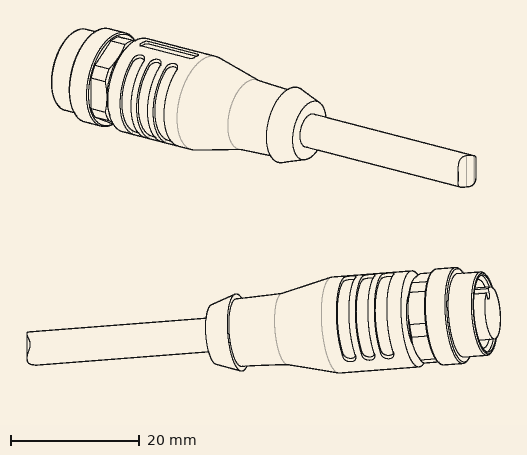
import cadquery as cq
total_length = 75.5
body_diameter = 15.0
body_radius = body_diameter / 2

insert_radius = 4.1
keyway_width = 1.35
keyway_offset = 3.3
keyway_angle = 45.0

sleeve_start = 1.2
flange_start = 5.2
hex_start = 8.8
hex_end = 11.8
hex_across_flats = 13.1
sleeve_radius = hex_across_flats / 2
hex_corner_radius = 7.0
nut_chamfer = 0.2
hex_bevel_length = 0.3

bore_mouth_radius = 6.05
bore_radius = 5.4
mouth_depth = 0.4
cone_length = 0.4
bore_floor = 7.2

neck_radius = 4.7
body_start = 12.6
taper_start = 25.6
relief_start = 33.8
relief_radius = 5.6
collar_start = 41.4
relief_end_radius = 5.3
collar_radius = 6.05
collar_end = 45.4
collar_end_radius = 4.7

recess_depth = 0.49
floor_radius = body_radius - recess_depth
groove_count = 3
groove_width = 2.05
groove_pitch = 3.1
first_groove = 15.9
groove_end = 3.0
panel_start = 14.05
panel_length = 10.05
panel_width = 2.1
panel_corner = 0.45

cable_radius = 2.65
cable_top = 74.6
cable_middle = 74.9
cable_hollow = 74.55
cable_bottom = 75.15


def cylinder(start, end, radius):
    return cq.Workplane("YZ", origin=(start, 0, 0)).circle(radius).extrude(end - start)


def revolve_profile(points):
    return cq.Workplane("XY").polyline(points).close().revolve(360, (0, 0, 0), (1, 0, 0))


def make_insert():
    insert = cylinder(0, bore_floor, insert_radius)
    keyway = (
        cq.Workplane("YZ")
        .center(keyway_offset, 0)
        .circle(keyway_width / 2)
        .extrude(bore_floor)
    )
    opening = (
        cq.Workplane("YZ")
        .center(keyway_offset + keyway_width / 2, 0)
        .rect(keyway_width, keyway_width)
        .extrude(bore_floor)
    )
    cutter = keyway.union(opening).rotate((0, 0, 0), (1, 0, 0), keyway_angle)
    return insert.cut(cutter)


def make_nut():
    sleeve = cylinder(sleeve_start, flange_start, sleeve_radius).faces("<X").chamfer(nut_chamfer)
    flange = cylinder(flange_start, hex_start, body_radius).edges().chamfer(nut_chamfer)
    hexagon = (
        cq.Workplane("YZ", origin=(hex_start, 0, 0))
        .polygon(6, hex_across_flats, circumscribed=True)
        .extrude(hex_end - hex_start)
    )
    turned = revolve_profile([
        (hex_start, 0),
        (hex_start, hex_corner_radius),
        (hex_end - hex_bevel_length, hex_corner_radius),
        (hex_end, hex_across_flats / 2),
        (hex_end, 0),
    ])
    bore = revolve_profile([
        (sleeve_start, 0),
        (sleeve_start, bore_mouth_radius),
        (sleeve_start + mouth_depth, bore_mouth_radius),
        (sleeve_start + mouth_depth + cone_length, bore_radius),
        (bore_floor, bore_radius),
        (bore_floor, 0),
    ])
    return sleeve.union(flange).union(hexagon.intersect(turned)).cut(bore)


def make_body():
    return revolve_profile([
        (hex_end, 0),
        (hex_end, neck_radius),
        (body_start, neck_radius),
        (body_start, body_radius),
        (taper_start, body_radius),
        (relief_start, relief_radius),
        (collar_start, relief_end_radius),
        (collar_start, collar_radius),
        (collar_end, collar_end_radius),
        (collar_end, 0),
    ])


def make_side_grooves():
    length = 2 * body_radius
    shell = cylinder(body_start, taper_start, length).cut(
        cylinder(body_start, taper_start, floor_radius)
    )
    bars = cq.Workplane("XY")
    for index in range(groove_count):
        for side in (1, -1):
            bar = (
                cq.Workplane("XY", origin=(first_groove + index * groove_pitch, 0, 0))
                .center(0, side * (groove_end + length / 2))
                .slot2D(length, groove_width, 90)
                .extrude(body_radius, both=True)
            )
            bars = bars.add(bar)
    return bars.combine().intersect(shell)


def make_top_panel():
    return (
        cq.Workplane("XY", origin=(panel_start + panel_length / 2, 0, floor_radius))
        .rect(panel_length, panel_width)
        .extrude(body_radius)
        .edges("|Z")
        .fillet(panel_corner)
    )


def make_cable():
    half = cable_radius / 2
    return (
        cq.Workplane("XY", origin=(0, 0, -cable_radius))
        .moveTo(collar_end, cable_radius)
        .lineTo(cable_top, cable_radius)
        .threePointArc((total_length, half), (cable_middle, 0))
        .threePointArc((cable_hollow, -half), (cable_bottom, -cable_radius))
        .lineTo(collar_end, -cable_radius)
        .close()
        .extrude(2 * cable_radius)
        .intersect(cylinder(collar_end, total_length, cable_radius))
    )


body = make_body().cut(make_side_grooves()).cut(make_top_panel())
result = make_nut().union(make_insert()).union(body).union(make_cable())